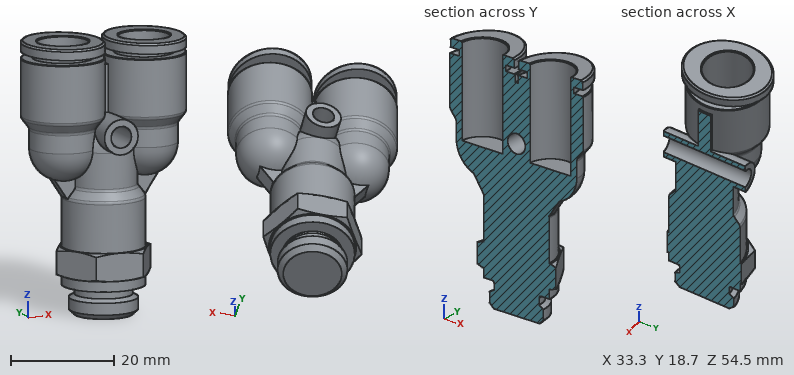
import cadquery as cq
import math

total_height = 54.5
tip_chamfer_top = 1.05
tip_band_top = 3.4
neck_bottom = 4.05
neck_flare_bottom = 5.5
collar_bottom = 5.9
hex_bottom = 7.95
hex_top = 13.5
shoulder_bottom = 23.5
stem_top = 33.0
pod_dome_height = 33.5
boss_height = 36.55
pod_step_top = 39.5
web_top = 49.55
pod_top = 51.25
cap_bottom = 52.45

tip_radius = 6.75
neck_radius = 5.65
neck_flare_radius = 5.85
body_radius = 8.2
slim_radius = 6.6
hex_flats = 17.0
hex_edge_drop = 0.5

step_height = 2.05
step_blend = 1.0

overall_width = 33.3
pod_offset = overall_width / 2 - body_radius
pod_edge_chamfer = 0.15
cap_neck_radius = 5.9
cap_half_x = 8.0
cap_half_y = 9.25
cap_chamfer = 0.4
socket_radius = 5.0
socket_chamfer = 0.2

boss_radius = 3.5
boss_hole_radius = 2.1
boss_length = 18.7
web_thickness = 2.95
gusset_half_width = 10.8
gusset_top = 27.45


def revolve_profile(points):
    """Solid of revolution about Z from (radius, height) points."""
    return cq.Workplane("XZ").polyline(points).close().revolve(360, (0, 0), (0, 1))


def blend_step(solid, low, high):
    """Round the edges of a conical step that spans the two given heights."""
    reach = 2 * body_radius
    margin = 0.05
    edges_of_step = cq.selectors.BoxSelector(
        (-reach, -reach, low - margin), (reach, reach, high + margin)
    )
    return solid.edges(edges_of_step).edges("%CIRCLE").fillet(step_blend)


def make_stem():
    """Thread end, collar and body, narrowing to a slim stem with a domed top."""
    shoulder_top = shoulder_bottom + step_height
    turned = revolve_profile([
        (0, 0),
        (neck_radius, 0),
        (tip_radius, tip_chamfer_top),
        (tip_radius, tip_band_top),
        (neck_radius, neck_bottom),
        (neck_radius, neck_flare_bottom),
        (neck_flare_radius, collar_bottom),
        (body_radius, collar_bottom),
        (body_radius, shoulder_bottom),
        (slim_radius, shoulder_top),
        (slim_radius, stem_top),
        (0, stem_top),
    ])
    turned = blend_step(turned, shoulder_bottom, shoulder_top)
    dome = cq.Workplane("XY").sphere(slim_radius).translate((0, 0, stem_top))
    return turned.union(dome)


def make_hex():
    """Hexagon with corners on X, its corners turned down at both ends."""
    corner_radius = hex_flats / math.sqrt(3)
    flat_radius = hex_flats / 2
    blank = (
        cq.Workplane("XY")
        .workplane(offset=hex_bottom)
        .polygon(6, 2 * corner_radius)
        .extrude(hex_top - hex_bottom)
    )
    envelope = revolve_profile([
        (0, hex_bottom),
        (flat_radius, hex_bottom),
        (corner_radius, hex_bottom + hex_edge_drop),
        (corner_radius, hex_top - hex_edge_drop),
        (flat_radius, hex_top),
        (0, hex_top),
    ])
    return blank.intersect(envelope)


def make_pod():
    """Tube pod on the Z axis: round bottom, stepped barrel and oval release cap."""
    step_bottom = pod_step_top - step_height
    barrel = revolve_profile([
        (0, pod_dome_height),
        (slim_radius, pod_dome_height),
        (slim_radius, step_bottom),
        (body_radius, pod_step_top),
        (body_radius, pod_top),
        (0, pod_top),
    ])
    barrel = blend_step(barrel, step_bottom, pod_step_top)
    barrel = barrel.faces(">Z").edges().chamfer(pod_edge_chamfer)
    dome = cq.Workplane("XY").sphere(slim_radius).translate((0, 0, pod_dome_height))
    cap_neck = (
        cq.Workplane("XY")
        .workplane(offset=pod_top)
        .circle(cap_neck_radius)
        .extrude(cap_bottom - pod_top)
    )
    cap = (
        cq.Workplane("XY")
        .workplane(offset=cap_bottom)
        .ellipse(cap_half_x, cap_half_y)
        .extrude(total_height - cap_bottom)
        .faces(">Z")
        .edges()
        .chamfer(cap_chamfer)
    )
    return barrel.union(dome).union(cap_neck).union(cap)


def make_socket():
    """Blind tube socket on the Z axis with a small lead-in."""
    mouth_radius = socket_radius + socket_chamfer
    return revolve_profile([
        (0, pod_dome_height),
        (socket_radius, pod_dome_height),
        (socket_radius, total_height - socket_chamfer),
        (mouth_radius, total_height),
        (0, total_height),
    ])


def make_web():
    """Thin plate joining the pods, with sloped gussets down to the body."""
    return (
        cq.Workplane("XZ")
        .polyline([
            (-body_radius, shoulder_bottom),
            (body_radius, shoulder_bottom),
            (gusset_half_width, gusset_top),
            (pod_offset, pod_dome_height),
            (pod_offset, web_top),
            (-pod_offset, web_top),
            (-pod_offset, pod_dome_height),
            (-gusset_half_width, gusset_top),
        ])
        .close()
        .extrude(web_thickness / 2, both=True)
    )


def make_cross_cylinder(radius):
    """Cylinder along Y through the middle of the fork."""
    return (
        cq.Workplane("XZ")
        .center(0, boss_height)
        .circle(radius)
        .extrude(boss_length / 2, both=True)
    )


result = make_stem().union(make_hex()).union(make_web()).union(make_cross_cylinder(boss_radius))
for side in (-1, 1):
    result = result.union(make_pod().translate((side * pod_offset, 0, 0)))
for side in (-1, 1):
    result = result.cut(make_socket().translate((side * pod_offset, 0, 0)))
result = result.cut(make_cross_cylinder(boss_hole_radius))